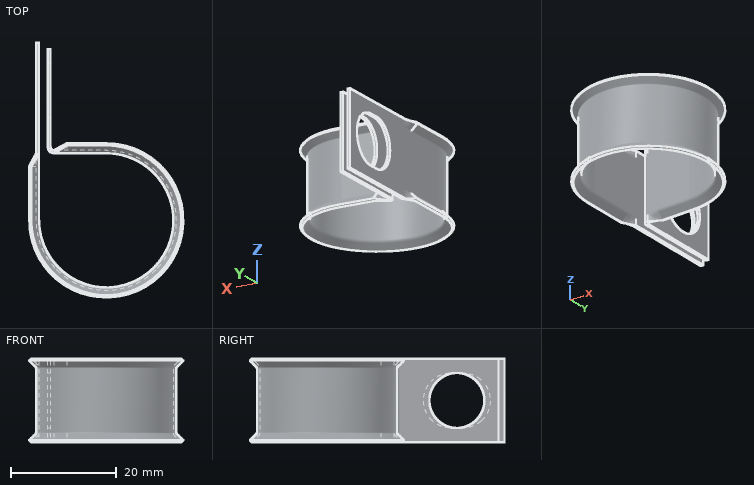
import cadquery as cq
import math

width = 15.9
sheet = 0.6
loop_radius = 13.3
overall_length = 48.3
flare_diameter = 29.25
rim_bend = 0.3
flare_angle = 45
transition = 2.45
short_tab_end = 32.5
tab_pitch = 2.17
tab_bend = 1.2
loop_sweep = 270
hole_y = 24.65
hole_diameter = 10.4
slot_length = 12.7

flare_radius = flare_diameter / 2
long_tab_end = overall_length - flare_radius
inner_radius = loop_radius - sheet
half_width = width / 2
right_tab_x = -loop_radius + tab_pitch
bend_end_x = right_tab_x + tab_bend
left_rim_end = inner_radius - transition
top_rim_end = bend_end_x + transition

slope = math.radians(flare_angle)
outer_tip_z = half_width - sheet * math.cos(slope)
inner_tip_r = flare_radius - sheet * math.sin(slope)
corner_z = outer_tip_z - (flare_radius - loop_radius) / math.tan(slope)
bend_z = corner_z - rim_bend * math.tan(slope / 2)
bend_center_r = loop_radius + rim_bend


def bend_point(radius, angle):
    """Point on the upper rim bend, turned by angle from its lower end."""
    return bend_center_r - radius * math.cos(angle), bend_z + radius * math.sin(angle)


def mirrored(point):
    return point[0], -point[1]


def add_bend(outline, start, middle, end, flared):
    """Draw a rim bend as an arc, or as a straight stretch of the flat strip."""
    outline = outline.lineTo(*start)
    if flared:
        return outline.threePointArc(middle, end)
    return outline.lineTo(*end)


def strip_section(outline, flared):
    """Closed section, with equal edge counts for the flared and flat states."""
    outer_bend = [bend_point(rim_bend, a) for a in (0, slope / 2, slope)]
    inner_bend = [bend_point(rim_bend + sheet, a) for a in (0, slope / 2, slope)]
    outer_tip = (flare_radius, outer_tip_z)
    inner_tip = (inner_tip_r, half_width)
    if not flared:
        outer_bend = [(loop_radius, z) for _, z in outer_bend]
        inner_bend = [(inner_radius, z) for _, z in inner_bend]
        outer_tip = (loop_radius, half_width)
        inner_tip = (inner_radius, half_width)
    outline = outline.moveTo(*mirrored(outer_tip))
    outline = add_bend(outline, *[mirrored(p) for p in reversed(outer_bend)], flared)
    outline = add_bend(outline, *outer_bend, flared)
    outline = outline.lineTo(*outer_tip).lineTo(*inner_tip)
    outline = add_bend(outline, *reversed(inner_bend), flared)
    outline = add_bend(outline, *[mirrored(p) for p in inner_bend], flared)
    return outline.lineTo(*mirrored(inner_tip)).close()


def left_plane(y):
    return cq.Workplane(cq.Plane((0, y, 0), (-1, 0, 0), (0, 1, 0)))


def top_plane(x):
    return cq.Workplane(cq.Plane((x, 0, 0), (0, 1, 0), (1, 0, 0)))


def flared_leg(plane_at, rim_stop, flat_start):
    """Straight flared strip followed by its transition to flat."""
    straight = strip_section(plane_at(0), True).extrude(rim_stop)
    rim_end = strip_section(plane_at(rim_stop), True).ctx.pendingWires[0]
    flat_end = strip_section(plane_at(flat_start), False).ctx.pendingWires[0]
    fade = cq.Solid.makeLoft([rim_end, flat_end], True)
    return straight.union(cq.Workplane(fade))


loop = strip_section(left_plane(0), True).revolve(loop_sweep, (0, 0), (0, 1))
left_leg = flared_leg(left_plane, left_rim_end, inner_radius)
top_leg = flared_leg(top_plane, top_rim_end, bend_end_x)


def tab_cutter():
    return cq.Workplane("YZ", origin=(0, hole_y, 0))


left_tab = (
    cq.Workplane("XY", origin=(-loop_radius, inner_radius, -half_width))
    .rect(sheet, long_tab_end - inner_radius, centered=False)
    .extrude(width)
    .cut(tab_cutter().slot2D(slot_length, hole_diameter).extrude(loop_radius, both=True))
)

bend_center_y = inner_radius + tab_bend
diagonal = math.sqrt(0.5)
inner_bend_radius = tab_bend - sheet
right_tab = (
    cq.Workplane("XY", origin=(0, 0, -half_width))
    .moveTo(right_tab_x, short_tab_end)
    .lineTo(right_tab_x, bend_center_y)
    .threePointArc(
        (bend_end_x - tab_bend * diagonal, bend_center_y - tab_bend * diagonal),
        (bend_end_x, inner_radius),
    )
    .lineTo(bend_end_x, loop_radius)
    .threePointArc(
        (bend_end_x - inner_bend_radius * diagonal, bend_center_y - inner_bend_radius * diagonal),
        (right_tab_x + sheet, bend_center_y),
    )
    .lineTo(right_tab_x + sheet, short_tab_end)
    .close()
    .extrude(width)
    .cut(tab_cutter().circle(hole_diameter / 2).extrude(loop_radius, both=True))
)

result = loop.union(left_leg).union(top_leg).union(left_tab).union(right_tab)